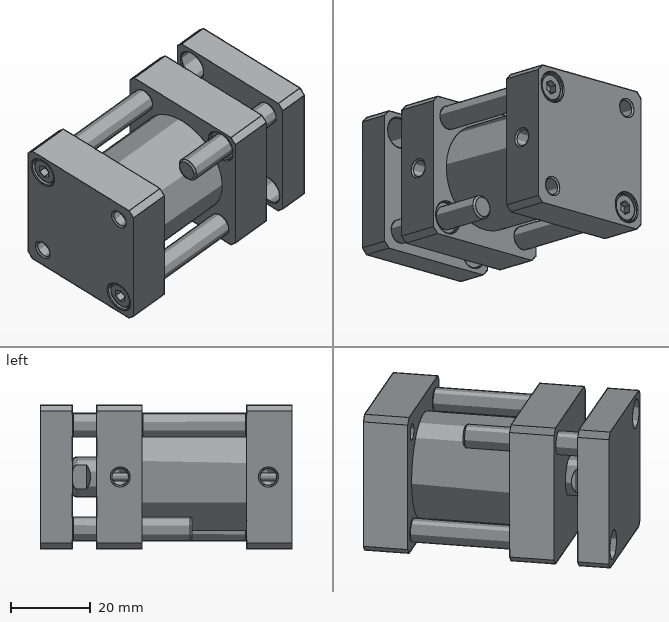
import cadquery as cq
import math


total_length = 63.0
plate_side = 36.0
corner_chamfer = 1.5
corner_offset = 13.0

end_plate_length = 11.4
tool_plate_length = 8.0
stroke_gap = 6.05
cap_front = -total_length / 2
cap_back = cap_front + end_plate_length
tool_back = total_length / 2
tool_front = tool_back - tool_plate_length
head_back = tool_front - stroke_gap
head_front = head_back - end_plate_length

barrel_diameter = 26.95
small_chamfer = 0.25
drill_point_angle = 118.0

port_diameter = 4.15
port_mouth_diameter = 5.0
port_inset = 5.5
port_depth = 6.0
bar_embed = 0.6
bar_diameter = 2.0

tapped_diameter = 4.15
tapped_mouth_diameter = 5.0

counterbore_diameter = 7.5
counterbore_depth = 4.5
screw_hole_diameter = 4.5
guide_recess_diameter = 8.0
guide_recess_depth = 1.0

rod_diameter = 10.0
rod_flat_width = 8.0
rod_flat_length = 3.5
rod_tip_radius = 1.2

guide_diameter = 6.0
guide_length = 30.0
guide_chamfer = 0.5

screw_head_diameter = 7.0
screw_head_length = 4.0
screw_head_chamfer = 0.3
screw_shank_diameter = 3.2
screw_reach = 6.0
hex_width = 3.0
hex_depth = 1.9

SCREW_CORNERS = [(-corner_offset, corner_offset), (corner_offset, -corner_offset)]
GUIDE_CORNERS = [(corner_offset, corner_offset), (-corner_offset, -corner_offset)]

Y_AXIS = cq.Vector(0, 1, 0)
X_AXIS = cq.Vector(1, 0, 0)


def rod_y(diameter, start, end, at=(0, 0)):
    """Cylinder along Y from start to end, centred on at = (x, z)."""
    base = cq.Vector(at[0], start, at[1])
    return cq.Workplane(cq.Solid.makeCylinder(diameter / 2, end - start, base, Y_AXIS))


def cone_y(start_diameter, end_diameter, start, end, at=(0, 0)):
    """Cone frustum along Y from start to end, centred on at = (x, z)."""
    base = cq.Vector(at[0], start, at[1])
    cone = cq.Solid.makeCone(start_diameter / 2, end_diameter / 2, end - start, base, Y_AXIS)
    return cq.Workplane(cone)


def square_plate(start, length):
    """Square plate with chamfered corners, its thickness along Y."""
    plate = cq.Workplane("XY").box(plate_side, length, plate_side)
    return plate.edges("|Y").chamfer(corner_chamfer).translate((0, start + length / 2, 0))


def chamfered_bore(diameter, face, depth, at):
    """Bore with a chamfered mouth that opens on a -Y face."""
    mouth_diameter = diameter + 2 * small_chamfer
    bore = rod_y(diameter, face, face + depth, at)
    return bore.union(cone_y(mouth_diameter, diameter, face, face + small_chamfer, at))


def drill_point_length(diameter):
    """Length of the conical point of a drill."""
    return diameter / 2 / math.tan(math.radians(drill_point_angle / 2))


def port(y):
    """Drilled port on the -X side."""
    side = -plate_side / 2
    mouth_depth = (port_mouth_diameter - port_diameter) / 2
    tip_length = drill_point_length(port_diameter)
    mouth_centre = cq.Vector(side, y, 0)
    tip_centre = cq.Vector(side + port_depth, y, 0)
    drill = cq.Solid.makeCylinder(port_diameter / 2, port_depth, mouth_centre, X_AXIS)
    tip = cq.Solid.makeCone(port_diameter / 2, 0, tip_length, tip_centre, X_AXIS)
    mouth = cq.Solid.makeCone(
        port_mouth_diameter / 2, port_diameter / 2, mouth_depth, mouth_centre, X_AXIS
    )
    return cq.Workplane(drill).union(cq.Workplane(tip)).union(cq.Workplane(mouth))


def make_housing():
    """Cap, barrel and head in one piece."""
    housing = square_plate(cap_front, end_plate_length)
    housing = housing.union(rod_y(barrel_diameter, cap_back, head_front))
    housing = housing.union(square_plate(head_front, end_plate_length))

    for corner in SCREW_CORNERS:
        housing = housing.cut(chamfered_bore(counterbore_diameter, cap_front, counterbore_depth, corner))
        housing = housing.cut(rod_y(screw_hole_diameter, cap_front, cap_back, corner))

    mouth_depth = (tapped_mouth_diameter - tapped_diameter) / 2
    for corner in GUIDE_CORNERS:
        housing = housing.cut(rod_y(tapped_diameter, cap_front, cap_back, corner))
        mouth = cone_y(tapped_mouth_diameter, tapped_diameter, cap_front, cap_front + mouth_depth, corner)
        housing = housing.cut(mouth)
        housing = housing.cut(chamfered_bore(guide_recess_diameter, head_front, guide_recess_depth, corner))
        housing = housing.cut(rod_y(guide_diameter, head_front, head_back, corner))

    housing = housing.cut(rod_y(rod_diameter, head_front, head_back))

    bar_half = port_diameter / 2 + bar_embed
    bar_x = -plate_side / 2 + port_depth - bar_diameter / 2
    for port_y in (cap_back - port_inset, head_front + port_inset):
        housing = housing.cut(port(port_y))
        housing = housing.union(rod_y(bar_diameter, port_y - bar_half, port_y + bar_half, (bar_x, 0)))
    return housing


def make_tool_plate():
    """Moving plate with access bores in line with the cap screws."""
    plate = square_plate(tool_front, tool_plate_length)
    for corner in SCREW_CORNERS:
        plate = plate.cut(chamfered_bore(counterbore_diameter, tool_front, tool_plate_length, corner))
    return plate


def make_piston_rod():
    """Rod with two wrench flats in X behind its rounded tip."""
    rod = rod_y(rod_diameter, head_front, tool_front).faces(">Y").edges().fillet(rod_tip_radius)

    flat_depth = (rod_diameter - rod_flat_width) / 2
    flat_start = tool_front - rod_flat_length
    for side in (-1, 1):
        flat_cut = (
            cq.Workplane("XY")
            .moveTo(side * rod_flat_width / 2, tool_front)
            .lineTo(side * rod_flat_width / 2, flat_start)
            .lineTo(side * rod_diameter / 2, flat_start - flat_depth)
            .lineTo(side * rod_diameter / 2, tool_front)
            .close()
            .extrude(rod_diameter / 2, both=True)
        )
        rod = rod.cut(flat_cut)
    return rod


def make_guide(corner):
    """Guide rod that stands on the tool plate and slides through the head."""
    guide = rod_y(guide_diameter, tool_front - guide_length, tool_front, corner)
    guide = guide.faces("<Y").chamfer(guide_chamfer)
    return guide.faces(">Y").chamfer(small_chamfer)


def make_post(corner):
    """Spacer post between cap and head, tapped at the cap end."""
    post = rod_y(guide_diameter, cap_back, head_front, corner).faces("<Y or >Y").chamfer(small_chamfer)
    return post.cut(rod_y(screw_shank_diameter, cap_back, cap_back + screw_reach, corner))


def make_screw(corner):
    """Socket head screw that clamps a post to the cap."""
    seat = cap_front + counterbore_depth
    top = seat - screw_head_length
    screw = rod_y(screw_head_diameter, top, seat, corner).faces("<Y").chamfer(screw_head_chamfer)
    screw = screw.union(rod_y(screw_shank_diameter, seat, cap_back + screw_reach, corner))

    hex_corner_diameter = hex_width / math.cos(math.pi / 6)
    point_length = drill_point_length(hex_corner_diameter)
    hex_prism = (
        cq.Workplane("XZ", origin=(corner[0], top, corner[1]))
        .transformed(rotate=(0, 0, 30))
        .polygon(6, hex_corner_diameter)
        .extrude(-hex_depth - point_length)
    )
    floor = top + hex_depth
    pilot = rod_y(hex_corner_diameter, top, floor, corner)
    pilot = pilot.union(cone_y(hex_corner_diameter, 0, floor, floor + point_length, corner))
    return screw.cut(hex_prism.intersect(pilot))


housing = make_housing()
tool_plate = make_tool_plate()
piston_rod = make_piston_rod()
guides = [make_guide(corner).val() for corner in GUIDE_CORNERS]
posts = [make_post(corner).val() for corner in SCREW_CORNERS]
screws = [make_screw(corner).val() for corner in SCREW_CORNERS]

result = cq.Compound.makeCompound(
    [housing.val(), tool_plate.val(), piston_rod.val(), *guides, *posts, *screws]
)